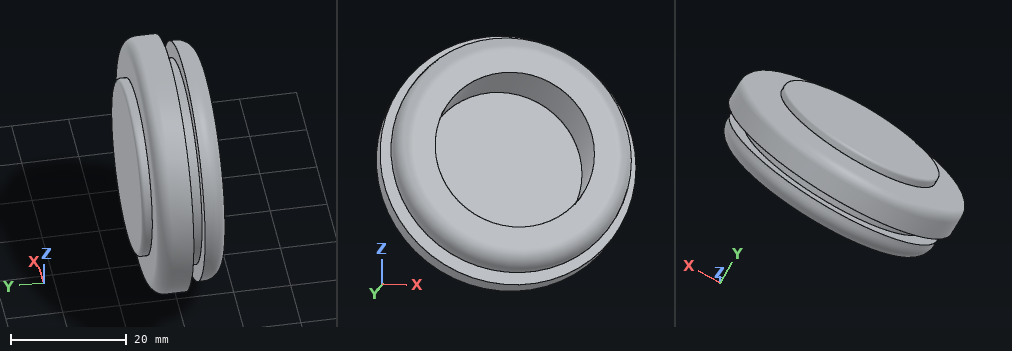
import cadquery as cq

main_flange_diameter = 45.0
front_flange_diameter = 42.0
groove_diameter = 36.0
boss_diameter = 31.0
bore_diameter = 28.0

total_length = 14.0
front_flange_length = 4.0
groove_length = 2.25
main_flange_length = 6.05
boss_length = total_length - front_flange_length - groove_length - main_flange_length
bore_depth = 11.7

front_flange_radius = (front_flange_diameter - groove_diameter) / 2
main_flange_radius = 2.5
boss_radius = 0.7


def disc(diameter, length, start):
    """Cylinder along +Y whose front face lies at Y = start."""
    plane = cq.Workplane("XZ", origin=(0, start, 0))
    return plane.circle(diameter / 2).extrude(-length)


front_flange = disc(front_flange_diameter, front_flange_length, 0)
front_flange = front_flange.faces("<Y").edges().fillet(front_flange_radius)

groove_start = front_flange_length
neck = disc(groove_diameter, groove_length, groove_start)

main_flange_start = groove_start + groove_length
main_flange = disc(main_flange_diameter, main_flange_length, main_flange_start)
main_flange = main_flange.faces(">Y").edges().fillet(main_flange_radius)

boss_start = main_flange_start + main_flange_length
boss = disc(boss_diameter, boss_length, boss_start)
boss = boss.faces(">Y").edges().fillet(boss_radius)

bore = disc(bore_diameter, bore_depth, 0)

result = front_flange.union(neck).union(main_flange).union(boss).cut(bore)